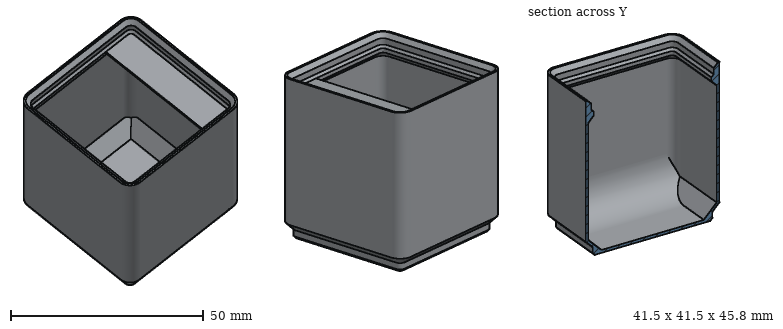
import cadquery as cq

SIDE = 41.5
HEIGHT = 45.8
CORNER_RADIUS = 3.7

FOOT_LOWER_CHAMFER = 0.8
FOOT_STRAIGHT = 1.8
FOOT_UPPER_CHAMFER = 2.15

RIM_WIDTH = 0.6
LIP_UPPER_CHAMFER = 1.3
LIP_STRAIGHT = 1.8
LIP_LOWER_CHAMFER = 0.75
LIP_LAND = 1.2

WALL = 0.95
FLOOR_Z = 1.0
FLOOR_CHAMFER = 4.0
SCOOP_RADIUS = 10.35

SHELF_DEPTH = 10.85
SHELF_EDGE = 0.55

LIP_MIDDLE_INSET = RIM_WIDTH + LIP_UPPER_CHAMFER
LIP_INNER_INSET = LIP_MIDDLE_INSET + LIP_LOWER_CHAMFER
LIP_UNDERCUT = LIP_INNER_INSET - WALL
LIP_UPPER_Z = HEIGHT - LIP_UPPER_CHAMFER
LIP_MIDDLE_Z = LIP_UPPER_Z - LIP_STRAIGHT
SHELF_Z = LIP_MIDDLE_Z - LIP_LOWER_CHAMFER
LAND_Z = SHELF_Z - LIP_LAND
CAVITY_TOP_Z = LAND_Z - LIP_UNDERCUT
CAVITY_HALF = SIDE / 2 - WALL


def rounded_layer(z_low, z_high, inset_low, inset_high):
    """Rounded square layer whose outline may step inward or outward with height."""
    def outline(inset):
        width = SIDE - 2 * inset
        return cq.Sketch().rect(width, width).vertices().fillet(CORNER_RADIUS - inset)

    base = cq.Workplane("XY", origin=(0, 0, z_low))
    if inset_low == inset_high:
        return base.placeSketch(outline(inset_low)).extrude(z_high - z_low)
    upper = outline(inset_high).moved(cq.Location(cq.Vector(0, 0, z_high - z_low)))
    return base.placeSketch(outline(inset_low), upper).loft()


def stack_layers(stations):
    """Join layers through successive (height, inset) stations."""
    stack = None
    for (z_low, inset_low), (z_high, inset_high) in zip(stations, stations[1:]):
        layer = rounded_layer(z_low, z_high, inset_low, inset_high)
        stack = layer if stack is None else stack.union(layer)
    return stack


def outer_body():
    straight_z = FOOT_LOWER_CHAMFER + FOOT_STRAIGHT
    return stack_layers([
        (0, FOOT_UPPER_CHAMFER + FOOT_LOWER_CHAMFER),
        (FOOT_LOWER_CHAMFER, FOOT_UPPER_CHAMFER),
        (straight_z, FOOT_UPPER_CHAMFER),
        (straight_z + FOOT_UPPER_CHAMFER, 0),
        (HEIGHT, 0),
    ])


def floor_wedges():
    """45-degree fillers that keep wall above the foot at both sides and the back."""
    wedge = (
        cq.Workplane("XZ")
        .moveTo(CAVITY_HALF, FLOOR_Z)
        .lineTo(CAVITY_HALF - FLOOR_CHAMFER, FLOOR_Z)
        .lineTo(CAVITY_HALF, FLOOR_Z + FLOOR_CHAMFER)
        .close()
        .extrude(CAVITY_HALF, both=True)
    )
    wedges = wedge
    for angle in (90, 180):
        wedges = wedges.union(wedge.rotate((0, 0, 0), (0, 0, 1), angle))
    return wedges


def front_scoop():
    """Concave quarter-round ramp from the floor up the front wall."""
    block = cq.Workplane("XY", origin=(0, -CAVITY_HALF, FLOOR_Z)).box(
        2 * CAVITY_HALF, SCOOP_RADIUS, SCOOP_RADIUS, centered=(True, False, False)
    )
    hollow = (
        cq.Workplane("YZ")
        .center(SCOOP_RADIUS - CAVITY_HALF, FLOOR_Z + SCOOP_RADIUS)
        .circle(SCOOP_RADIUS)
        .extrude(CAVITY_HALF, both=True)
    )
    return block.cut(hollow)


def label_shelf():
    """Flat shelf below the lip, carried by a 45-degree underside."""
    front_y = CAVITY_HALF - SHELF_DEPTH
    edge_z = SHELF_Z - SHELF_EDGE
    return (
        cq.Workplane("YZ")
        .moveTo(CAVITY_HALF, SHELF_Z)
        .lineTo(front_y, SHELF_Z)
        .lineTo(front_y, edge_z)
        .lineTo(CAVITY_HALF, edge_z - SHELF_DEPTH)
        .close()
        .extrude(CAVITY_HALF, both=True)
    )


def cavity():
    space = stack_layers([
        (FLOOR_Z, WALL),
        (CAVITY_TOP_Z, WALL),
        (LAND_Z, LIP_INNER_INSET),
        (SHELF_Z, LIP_INNER_INSET),
        (LIP_MIDDLE_Z, LIP_MIDDLE_INSET),
        (LIP_UPPER_Z, LIP_MIDDLE_INSET),
        (HEIGHT, RIM_WIDTH),
    ])
    return space.cut(floor_wedges()).cut(front_scoop()).cut(label_shelf())


result = outer_body().cut(cavity())